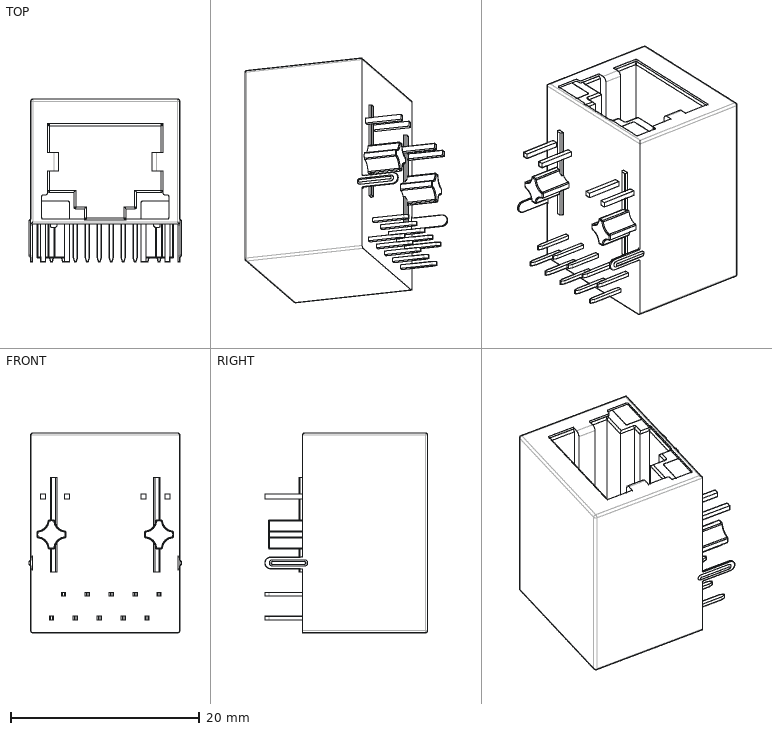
import cadquery as cq
import math


OVERALL_WIDTH = 16.23
BODY_WIDTH = 15.85
BODY_DEPTH = 13.3
BODY_HEIGHT = 21.25
EDGE_RADIUS = 0.25

SHIELD_THICKNESS = 0.25
OPENING_HALF_WIDTH = 6.14
OPENING_BACK = 10.67
OPENING_FRONT = 0.55
KEY_FRONT = 0.45
LED_POCKET_HALF_WIDTH = 6.75
LED_POCKET_BACK = 3.09
SHOULDER_RADIUS = 0.25
POCKET_CORNER_RADIUS = 0.12

LEAD_IN = 0.22
CAVITY_BACK = 10.45
CAVITY_HALF_WIDTH = 5.9
CAVITY_STEP = 3.6
NOTCH_HALF_WIDTH = 3.12
NOTCH_STEP = 1.85
KEY_HALF_WIDTH = 2.0
CAVITY_FRONT = 0.68
CAVITY_FLOOR_Z = 8.25

GUIDE_HALF_WIDTH = 4.97
GUIDE_FRONT = 5.63
GUIDE_BACK = 7.62
GUIDE_RADIUS = 0.47

LED_INNER_X = 3.82
LED_BACK = 2.44
LED_PROUD = 0.02
LED_CORNER_RADIUS = 0.12

PIN_LENGTH = 4.0
SIGNAL_PIN_WIDTH = 0.45
SIGNAL_PIN_THICKNESS = 0.4
SIGNAL_TIP_WIDTH = 0.18
SIGNAL_TIP_LENGTH = 0.45
PIN_PITCH = 2.54
PINS_PER_ROW = 5
ROW_STAGGER = PIN_PITCH / 2
LOWER_ROW_Z = 1.57
UPPER_ROW_Z = LOWER_ROW_Z + PIN_PITCH
LED_PIN_SIZE = 0.55
LED_PIN_Z = 14.5
LED_PIN_INNER_X = 4.06
LED_PIN_OUTER_X = LED_PIN_INNER_X + PIN_PITCH

PEG_X = 5.715
PEG_Z = 10.46
PEG_DIAMETER = 3.12
PEG_LENGTH = 3.6
PEG_CHAMFER = 0.1
PEG_CORNER_CHAMFER = 0.1
FLUTE_OFFSET = 1.5
FLUTE_RADIUS = 1.13

RIB_OUTER_X = 5.82
RIB_INNER_X = 5.12
RIB_BOTTOM_Z = 6.47
RIB_TOP_Z = 16.53
RIB_HEIGHT = 0.35
RIB_OUTER_CHAMFER = 0.1
RIB_INNER_CHAMFER = 0.17

TAB_THICKNESS = 0.2
TAB_WIDTH = 1.24
TAB_Z = 7.43
TAB_ROOT_RADIUS = 0.13
BEAD_WIDTH = 0.66
BEAD_HEIGHT = (OVERALL_WIDTH - BODY_WIDTH) / 2
BEAD_TOP_Y = 0.55
BEAD_BOTTOM_Y = -3.53
BEAD_TAPER = 45

JOIN = 0.5
RECESS_Z = BODY_HEIGHT - SHIELD_THICKNESS


def box(x0, x1, y0, y1, z0, z1):
    """Box between two opposite corners."""
    return cq.Workplane("XY").box(x1 - x0, y1 - y0, z1 - z0, centered=False).translate((x0, y0, z0))


def both_sides(part):
    """The part together with its mirror image across X = 0."""
    return part.union(part.mirror("YZ"))


def board_plane(y=0.0):
    """Workplane facing -Y, with local X along +X and local Y along +Z."""
    return cq.Workplane("XZ", origin=(0, y, 0))


def housing():
    half_width = BODY_WIDTH / 2
    body = box(-half_width, half_width, 0, BODY_DEPTH, 0, BODY_HEIGHT)
    return body.edges(">Z or >Y or (<Z and |Y)").fillet(EDGE_RADIUS)


def shield_opening():
    main = box(-OPENING_HALF_WIDTH, OPENING_HALF_WIDTH, OPENING_FRONT, OPENING_BACK, RECESS_Z, BODY_HEIGHT)
    pockets = box(
        -LED_POCKET_HALF_WIDTH, LED_POCKET_HALF_WIDTH, OPENING_FRONT, LED_POCKET_BACK, RECESS_Z, BODY_HEIGHT
    )
    key_half_width = KEY_HALF_WIDTH + LEAD_IN
    key = box(-key_half_width, key_half_width, KEY_FRONT, OPENING_BACK, RECESS_Z, BODY_HEIGHT)
    opening = main.union(pockets)
    for shoulder_x in (-OPENING_HALF_WIDTH, OPENING_HALF_WIDTH):
        shoulder = cq.selectors.NearestToPointSelector((shoulder_x, LED_POCKET_BACK, RECESS_Z))
        opening = opening.edges("|Z").edges(shoulder).fillet(SHOULDER_RADIUS)
    opening = opening.edges("|Z and (<X or >X)").fillet(POCKET_CORNER_RADIUS)
    return opening.union(key)


def plug_cavity():
    right_side = [
        (KEY_HALF_WIDTH, CAVITY_FRONT),
        (KEY_HALF_WIDTH, NOTCH_STEP),
        (NOTCH_HALF_WIDTH, NOTCH_STEP),
        (NOTCH_HALF_WIDTH, CAVITY_STEP),
        (CAVITY_HALF_WIDTH, CAVITY_STEP),
        (CAVITY_HALF_WIDTH, CAVITY_BACK),
    ]
    left_side = [(-x, y) for x, y in reversed(right_side)]
    outline = right_side + left_side
    shaft_depth = RECESS_Z - CAVITY_FLOOR_Z
    shaft = cq.Workplane("XY", origin=(0, 0, CAVITY_FLOOR_Z)).polyline(outline).close().extrude(shaft_depth)
    bevel_plane = cq.Workplane("XY", origin=(0, 0, RECESS_Z - LEAD_IN))
    bevel = bevel_plane.polyline(outline).close().extrude(LEAD_IN, taper=-45)
    return shaft.union(bevel)


def guide_block():
    outer_x = OPENING_HALF_WIDTH + JOIN
    block = box(GUIDE_HALF_WIDTH, outer_x, GUIDE_FRONT, GUIDE_BACK, CAVITY_FLOOR_Z - JOIN, BODY_HEIGHT)
    return block.edges("<X and >Z").fillet(GUIDE_RADIUS)


def led_window():
    window = box(
        LED_INNER_X, LED_POCKET_HALF_WIDTH, OPENING_FRONT, LED_BACK, RECESS_Z - JOIN, RECESS_Z + LED_PROUD
    )
    return window.edges("|Z and <X and >Y").fillet(LED_CORNER_RADIUS)


def signal_pin(x, z):
    half_width = SIGNAL_PIN_WIDTH / 2
    half_tip = SIGNAL_TIP_WIDTH / 2
    tip_start = -PIN_LENGTH + SIGNAL_TIP_LENGTH
    outline = [
        (-half_width, JOIN),
        (-half_width, tip_start),
        (-half_tip, -PIN_LENGTH),
        (half_tip, -PIN_LENGTH),
        (half_width, tip_start),
        (half_width, JOIN),
    ]
    pin = cq.Workplane("XY").polyline(outline).close().extrude(SIGNAL_PIN_THICKNESS / 2, both=True)
    return pin.translate((x, 0, z))


def led_pin(x):
    half = LED_PIN_SIZE / 2
    return box(x - half, x + half, -PIN_LENGTH, JOIN, LED_PIN_Z - half, LED_PIN_Z + half)


def peg():
    bar = board_plane(JOIN).circle(PEG_DIAMETER / 2).extrude(PEG_LENGTH + JOIN)
    flute_centres = [(sx * FLUTE_OFFSET, sz * FLUTE_OFFSET) for sx in (-1, 1) for sz in (-1, 1)]
    flutes = board_plane(JOIN).pushPoints(flute_centres).circle(FLUTE_RADIUS).extrude(PEG_LENGTH + JOIN)
    fluted = bar.cut(flutes).edges("|Y").chamfer(PEG_CORNER_CHAMFER)
    fluted = fluted.faces("<Y").chamfer(PEG_CHAMFER)
    return fluted.translate((PEG_X, 0, PEG_Z))


def standoff_rib():
    rib = box(RIB_INNER_X, RIB_OUTER_X, -RIB_HEIGHT, JOIN, RIB_BOTTOM_Z, RIB_TOP_Z)
    rib = rib.edges("<Y and >X").chamfer(RIB_OUTER_CHAMFER)
    return rib.edges("<Y and <X").chamfer(RIB_INNER_CHAMFER)


def ground_tab():
    face_x = BODY_WIDTH / 2
    half_width = TAB_WIDTH / 2
    arc_start = -PIN_LENGTH + half_width
    root = half_width + TAB_ROOT_RADIUS
    bulge = TAB_ROOT_RADIUS * (1 - math.sqrt(0.5))
    plate = (
        cq.Workplane("YZ", origin=(face_x - TAB_THICKNESS, 0, TAB_Z))
        .moveTo(JOIN, -root)
        .lineTo(0, -root)
        .threePointArc((-bulge, -half_width - bulge), (-TAB_ROOT_RADIUS, -half_width))
        .lineTo(arc_start, -half_width)
        .threePointArc((-PIN_LENGTH, 0), (arc_start, half_width))
        .lineTo(-TAB_ROOT_RADIUS, half_width)
        .threePointArc((-bulge, half_width + bulge), (0, root))
        .lineTo(JOIN, root)
        .close()
        .extrude(TAB_THICKNESS)
    )
    bead_centre_y = (BEAD_TOP_Y + BEAD_BOTTOM_Y) / 2
    bead = (
        cq.Workplane("YZ", origin=(face_x, bead_centre_y, TAB_Z))
        .slot2D(BEAD_TOP_Y - BEAD_BOTTOM_Y, BEAD_WIDTH)
        .extrude(BEAD_HEIGHT, taper=BEAD_TAPER)
    )
    return plate.union(bead)


def jack():
    part = housing().cut(shield_opening()).cut(plug_cavity())
    for feature in (guide_block(), led_window(), peg(), standoff_rib(), ground_tab()):
        part = part.union(both_sides(feature))
    for x in (LED_PIN_INNER_X, LED_PIN_OUTER_X):
        part = part.union(both_sides(led_pin(x)))
    for index in range(PINS_PER_ROW):
        row_x = (index - (PINS_PER_ROW - 1) / 2) * PIN_PITCH
        part = part.union(signal_pin(row_x - ROW_STAGGER / 2, LOWER_ROW_Z))
        part = part.union(signal_pin(row_x + ROW_STAGGER / 2, UPPER_ROW_Z))
    return part


result = jack()